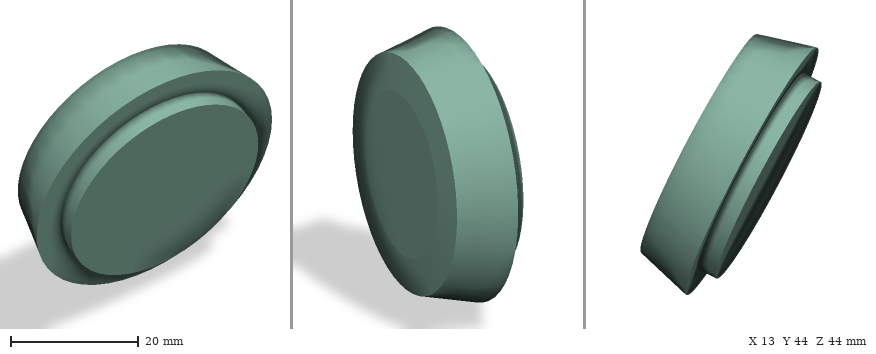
import cadquery as cq

rim_diameter = 44.0
shoulder_diameter = 38.9
face_diameter = 27.0
spigot_diameter = 35.0
total_length = 13.0
spigot_length = 3.0
dome_height = 0.55

rim_x = total_length - spigot_length

half_section = (
    cq.Workplane("XY")
    .moveTo(0, 0)
    .lineTo(0, face_diameter / 2)
    .lineTo(dome_height, shoulder_diameter / 2)
    .lineTo(rim_x, rim_diameter / 2)
    .lineTo(rim_x, spigot_diameter / 2)
    .lineTo(total_length, spigot_diameter / 2)
    .lineTo(total_length, 0)
    .close()
)

result = half_section.revolve(360, (0, 0, 0), (1, 0, 0))